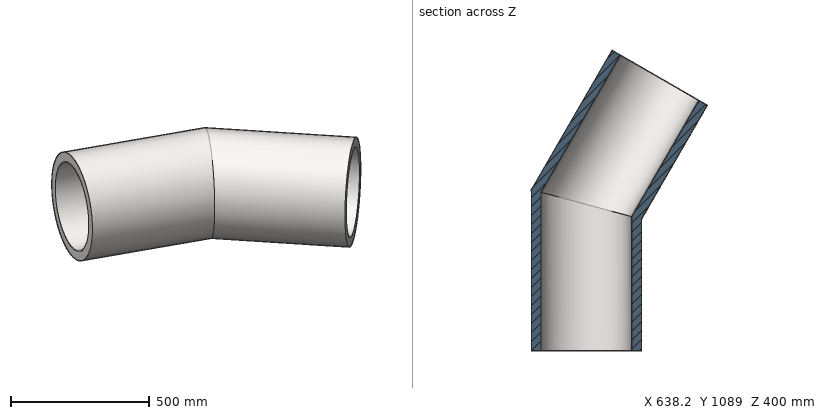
import cadquery as cq
import math

overall_length = 1089.0
outer_diameter = 400.0
bore_diameter = 328.0
bend_angle = math.radians(30)

outer_radius = outer_diameter / 2
end_face_rise = outer_radius * math.sin(bend_angle)
leg_length = (overall_length - end_face_rise) / (1 + math.cos(bend_angle))

mitre_point = (0, leg_length)
far_end = (
    leg_length * math.sin(bend_angle),
    leg_length * (1 + math.cos(bend_angle)),
)
centreline = cq.Workplane("XY").polyline([(0, 0), mitre_point, far_end])

wall_section = cq.Workplane("XZ").circle(outer_radius).circle(bore_diameter / 2)
result = wall_section.sweep(centreline, transition="right")